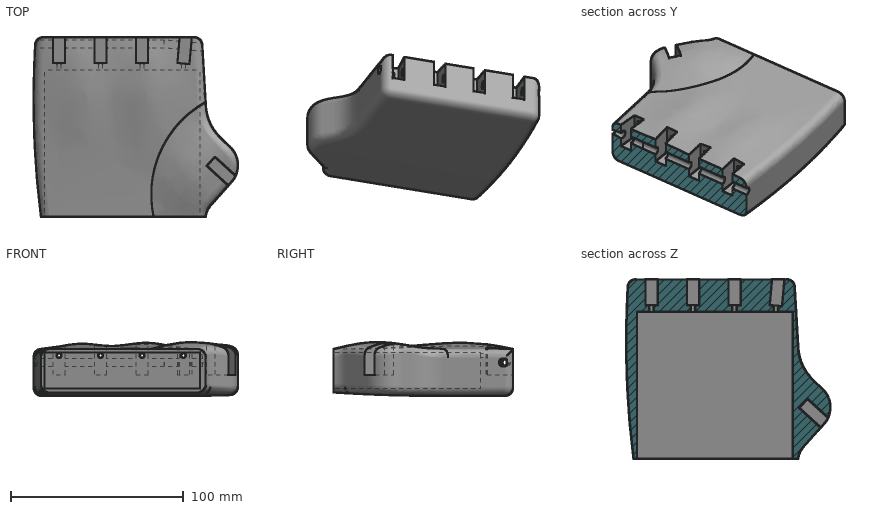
import math

import cadquery as cq


LENGTH = 104.0
WRIST_LEFT = 4.27
KNUCKLE_LEFT = 1.2
LEFT_BULGE_Y = 65.0
KNUCKLE_RIGHT = 97.4
THUMB_CROTCH = (100.4, 53.4)
THUMB_CROTCH_RADIUS = 27.0
THUMB_TIP = (123.8, 30.6)
THUMB_TIP_RADIUS = 14.4
THUMB_HEEL = (102.5, 6.7)
WRIST_RIGHT = 99.6

RIM_HEIGHT = 27.2
EDGE_RADIUS = 5.0
BLANK_HEIGHT = 40.0
TOLERANCE = 0.01
BELLY_START_Y = 60.0
WRIST_RISE = 2.0

SWELL_LEFT = 3.0
SWELL_WIDTH = 92.0
SWELL_START_Y = 14.0
SWELL_HEIGHT = 3.1
SWELL_SKEW = 1.7
EDGE_DIP = 0.3
SADDLE_DEPTH = 0.437
SADDLE_CENTRE = 0.465

MOUND_CENTRE = (129.1, 13.0)
MOUND_RADIUS = 61.0
MOUND_HEIGHT = 4.0
MOUND_WIDTH = 43.5
MOUND_LENGTH = 64.0
MOUND_SKEW = 0.75
MOUND_SHARPNESS = 1.6

GRID_STEP = 4.0
GRID_MARGIN = 4.0
GRID_END_X = 128.0
FIT_TOLERANCE = 0.02

SLOT_DEPTH = 15.0
CAVITY_LEFT = 6.4
CAVITY_WIDTH = 90.0
CAVITY_FLOOR = 4.2
CAVITY_HEIGHT = 21.0
CAVITY_END_WALL = 4.0
CAVITY_LENGTH = LENGTH - SLOT_DEPTH - CAVITY_END_WALL

SLOT_WIDTH = 7.0
SLOT_FLOOR = 12.0
FINGER_PITCH = 24.0
FIRST_FINGER_X = 14.8
STRAIGHT_FINGERS = 3
LAST_FINGER_ROOT = (86.7, 88.7)
LAST_FINGER_TILT = -5.0
THUMB_ROOT = (102.55, 32.15)
THUMB_TILT = -132.5
SLOT_CUT_LENGTH = 30.0

TENDON_DIAMETER = 2.5
TENDON_Z = 23.4
PIN_DIAMETER = 4.6
PIN_SETBACK = 3.9
PIN_Z = 19.4
PIN_BEND_X = 75.5


def swell(x, y):
    """Height of the back of the hand: two knuckle ridges with a saddle between."""
    across = (x - SWELL_LEFT) / SWELL_WIDTH
    along = max(0.0, (y - SWELL_START_Y) / (LENGTH - SWELL_START_Y)) ** SWELL_SKEW
    saddle = SADDLE_DEPTH * math.cos(4 * math.pi * (across - SADDLE_CENTRE))
    ridges = math.sin(math.pi * across) * (1 - saddle)
    return RIM_HEIGHT + SWELL_HEIGHT * max(-EDGE_DIP, ridges) * math.sin(math.pi * along)


def thumb_mound(x, y):
    """Height of the thumb mound, equal to the swell on the bounding circle."""
    inside = MOUND_RADIUS - math.hypot(x - MOUND_CENTRE[0], y - MOUND_CENTRE[1])
    along = min(1.0, max(0.0, y / MOUND_LENGTH)) ** MOUND_SKEW
    lengthwise = max(0.0, math.sin(math.pi * along)) ** MOUND_SHARPNESS
    return swell(x, y) + MOUND_HEIGHT * math.sin(math.pi * inside / MOUND_WIDTH) * lengthwise


def space_above(height):
    """Solid filling everything above the surface z = height(x, y)."""
    columns = round((GRID_END_X + GRID_MARGIN) / GRID_STEP) + 1
    rows = round((LENGTH + 2 * GRID_MARGIN) / GRID_STEP) + 1
    points = []
    for i in range(columns):
        x = i * GRID_STEP - GRID_MARGIN
        ys = [j * GRID_STEP - GRID_MARGIN for j in range(rows)]
        points.append([cq.Vector(x, y, height(x, y)) for y in ys])
    face = cq.Face.makeSplineApprox(points, tol=FIT_TOLERANCE, minDeg=3, maxDeg=5)
    return cq.Workplane(cq.Solid.extrudeLinear(face, cq.Vector(0, 0, BLANK_HEIGHT)))


def upright_edge_at(x, y):
    """Selector for the upright edge of the blank that stands at (x, y)."""
    low = (x - TOLERANCE, y - TOLERANCE, 0)
    high = (x + TOLERANCE, y + TOLERANCE, BLANK_HEIGHT)
    return cq.selectors.BoxSelector(low, high)


def palm_blank():
    """Tall prism with the plan outline of the palm and thumb."""
    blank = (
        cq.Workplane("XY")
        .moveTo(WRIST_LEFT, 0)
        .threePointArc((0, LEFT_BULGE_Y), (KNUCKLE_LEFT, LENGTH))
        .lineTo(KNUCKLE_RIGHT, LENGTH)
        .lineTo(*THUMB_CROTCH)
        .lineTo(*THUMB_TIP)
        .lineTo(*THUMB_HEEL)
        .tangentArcPoint((WRIST_RIGHT, 0), relative=False)
        .close()
        .extrude(BLANK_HEIGHT)
    )
    blank = blank.edges(upright_edge_at(*THUMB_CROTCH)).fillet(THUMB_CROTCH_RADIUS)
    return blank.edges(upright_edge_at(*THUMB_TIP)).fillet(THUMB_TIP_RADIUS)


def belly_cutter():
    """Space below the underside, which curves up towards the wrist."""
    radius = (BELLY_START_Y**2 + WRIST_RISE**2) / (2 * WRIST_RISE)
    middle_y = BELLY_START_Y / 2
    middle_z = radius - math.sqrt(radius**2 - middle_y**2)
    return (
        cq.Workplane("YZ")
        .moveTo(BELLY_START_Y, 0)
        .threePointArc((BELLY_START_Y - middle_y, middle_z), (0, WRIST_RISE))
        .lineTo(0, 0)
        .close()
        .extrude(GRID_END_X)
    )


def rounded_walls():
    """Tall prism with round knuckle corners and a rounded floor edge."""
    body = palm_blank()
    for x in (KNUCKLE_LEFT, KNUCKLE_RIGHT):
        body = body.edges(upright_edge_at(x, LENGTH)).fillet(EDGE_RADIUS)
    body = body.cut(belly_cutter())
    floor_edges = []
    for edge in body.edges().vals():
        box = edge.BoundingBox()
        low = box.zmax < EDGE_RADIUS
        at_wrist = box.ymax < TOLERANCE
        inside_floor = abs(edge.Center().y - BELLY_START_Y) < TOLERANCE
        if low and not at_wrist and not inside_floor:
            floor_edges.append(edge)
    return body.newObject(floor_edges).fillet(EDGE_RADIUS)


def rounded_roof(height):
    """Square-cornered prism under z = height(x, y), rounded along its side walls only."""
    body = palm_blank().cut(space_above(height))
    side_edges = []
    for edge in body.edges().vals():
        box = edge.BoundingBox()
        high = box.zmin > RIM_HEIGHT - EDGE_RADIUS
        at_wrist = box.ymax < TOLERANCE
        at_knuckles = box.ymin > LENGTH - TOLERANCE
        if high and not at_wrist and not at_knuckles:
            side_edges.append(edge)
    return body.newObject(side_edges).fillet(EDGE_RADIUS)


def outer_body():
    """Palm and thumb mound joined along the circle that bounds the mound."""
    mound_zone = cq.Workplane("XY").center(*MOUND_CENTRE).circle(MOUND_RADIUS).extrude(BLANK_HEIGHT)
    walls = rounded_walls()
    hand = walls.cut(mound_zone).intersect(rounded_roof(swell))
    thumb = walls.intersect(mound_zone).intersect(rounded_roof(thumb_mound))
    return hand.union(thumb)


def wrist_cavity():
    return (
        cq.Workplane("XY")
        .box(CAVITY_WIDTH, CAVITY_LENGTH, CAVITY_HEIGHT, centered=False)
        .translate((CAVITY_LEFT, 0, CAVITY_FLOOR))
    )


def slot(root, heading):
    """Slot from its root outwards, open at the top, turned from +Y by the heading."""
    return (
        cq.Workplane("XY")
        .box(SLOT_WIDTH, SLOT_CUT_LENGTH, BLANK_HEIGHT, centered=(True, False, False))
        .rotate((0, 0, 0), (0, 0, 1), heading)
        .translate((*root, SLOT_FLOOR))
    )


def tendon_hole(root):
    """Hole from the cavity through its end wall into a finger slot."""
    start = cq.Vector(root[0], CAVITY_LENGTH - CAVITY_END_WALL, TENDON_Z)
    length = root[1] - start.y + CAVITY_END_WALL
    return cq.Workplane(cq.Solid.makeCylinder(TENDON_DIAMETER / 2, length, start, cq.Vector(0, 1, 0)))


def pin_hole():
    """Hinge pin hole across the fingers, bent to stay square to the last finger."""
    bend = cq.Vector(PIN_BEND_X, LENGTH - PIN_SETBACK, PIN_Z)
    tilt = math.radians(LAST_FINGER_TILT)
    radius = PIN_DIAMETER / 2
    straight = cq.Solid.makeCylinder(radius, 2 * PIN_BEND_X, bend, cq.Vector(-1, 0, 0))
    outward = cq.Vector(math.cos(tilt), math.sin(tilt), 0)
    tilted = cq.Solid.makeCylinder(radius, 2 * (KNUCKLE_RIGHT - PIN_BEND_X), bend, outward)
    return cq.Workplane(straight).union(cq.Workplane(tilted))


def palm():
    """Complete shell with its cavity, slots and holes."""
    shell = outer_body().cut(wrist_cavity())
    for i in range(STRAIGHT_FINGERS):
        root = (FIRST_FINGER_X + i * FINGER_PITCH, LENGTH - SLOT_DEPTH)
        shell = shell.cut(slot(root, 0)).cut(tendon_hole(root))
    shell = shell.cut(slot(LAST_FINGER_ROOT, LAST_FINGER_TILT)).cut(tendon_hole(LAST_FINGER_ROOT))
    shell = shell.cut(slot(THUMB_ROOT, THUMB_TILT))
    return shell.cut(pin_hole())


result = cq.Workplane(palm().solids().val())